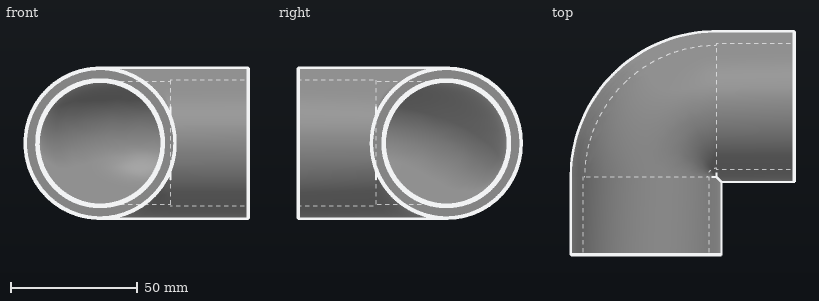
import cadquery as cq

overall_length = 89.0
outer_diameter = 60.0
outer_radius = outer_diameter / 2

collar_length = 31.1
socket_diameter = 50.0
socket_depth = collar_length
bend_bore_diameter = 48.8
rim_chamfer = 0.5
mouth_chamfer = 0.4

pivot = overall_length / 2 - collar_length
axis_offset = overall_length / 2 - outer_radius
bend_radius = pivot + axis_offset
bend_angle = 90


def collar_plane(port):
    """Plane on the open end of a port, with its normal pointing into the part."""
    open_end = overall_length / 2
    if port == "front":
        return cq.Plane(origin=(-axis_offset, -open_end, 0), xDir=(1, 0, 0), normal=(0, 1, 0))
    return cq.Plane(origin=(open_end, axis_offset, 0), xDir=(0, 1, 0), normal=(-1, 0, 0))


def straight_collar(port):
    """Solid outer cylinder with a chamfered rim."""
    collar = cq.Workplane(collar_plane(port)).circle(outer_radius).extrude(collar_length)
    open_face = "<Y" if port == "front" else ">X"
    return collar.faces(open_face).chamfer(rim_chamfer)


def socket(port):
    """Socket hole with a conical lead-in at its mouth."""
    hole = cq.Workplane(collar_plane(port)).circle(socket_diameter / 2).extrude(socket_depth)
    mouth = cq.Solid.makeCone(
        socket_diameter / 2 + mouth_chamfer,
        socket_diameter / 2,
        mouth_chamfer,
        pnt=collar_plane(port).origin,
        dir=collar_plane(port).zDir,
    )
    return hole.union(cq.Workplane(mouth))


def quarter_bend(radius):
    """Disc swept a quarter turn about the pivot; the part of it past the pivot line is dropped."""
    plane = cq.Plane(origin=(pivot, -pivot, 0), xDir=(-1, 0, 0), normal=(0, 1, 0))
    reach = bend_radius + radius
    disc = cq.Sketch().push([(bend_radius, 0)]).circle(radius)
    pivot_side = cq.Sketch().push([(reach / 2, 0)]).rect(reach, 2 * radius)
    profile = disc.reset().face(pivot_side, mode="i").clean()
    return cq.Workplane(plane).placeSketch(profile).revolve(bend_angle, (0, 0), (0, -1))


ports = ("front", "side")

result = quarter_bend(outer_radius)
for port in ports:
    result = result.union(straight_collar(port))

result = result.cut(quarter_bend(bend_bore_diameter / 2))
for port in ports:
    result = result.cut(socket(port))